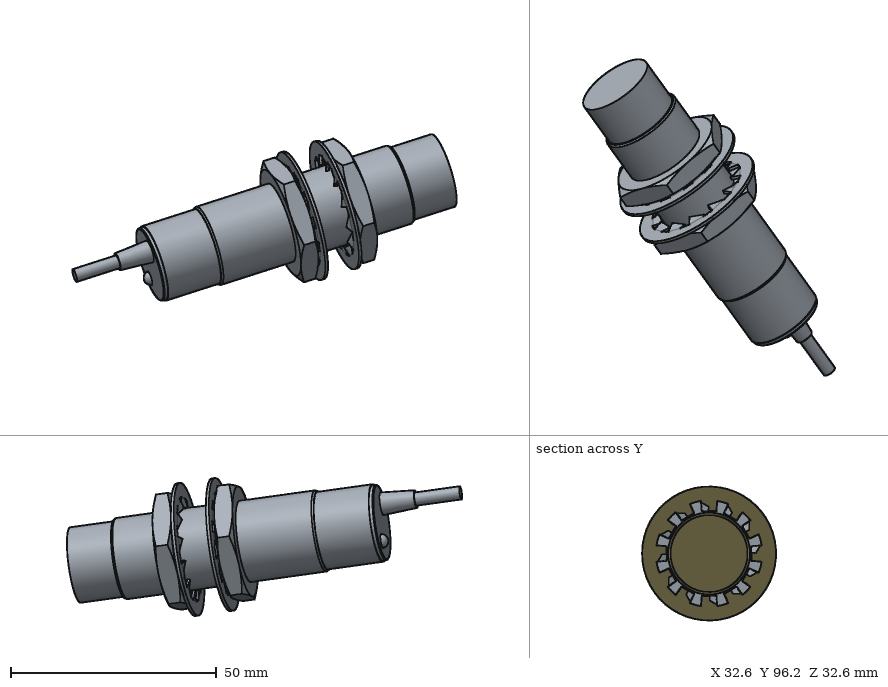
import cadquery as cq
import math


OVERALL_LENGTH = 96.23
BARREL_FRONT = 11.1
BARREL_REAR = 61.75
RIM_FRONT = 75.5
RIM_REAR = 76.6
RELIEF_REAR = 85.0

BARREL_RADIUS = 10.0
BARREL_CHAMFER_LENGTH = 0.5
BARREL_CHAMFER_DEPTH = 0.3

CORE_RADIUS = 9.3
CAP_RADIUS = 9.55
RIM_RADIUS = 9.3
RIM_CHAMFER = 0.25

FITTING_OFFSET = 5.6
RELIEF_ROOT_RADIUS = 2.8
RELIEF_TIP_RADIUS = 2.2
CABLE_RADIUS = 1.65
LIGHT_RADIUS = 1.75
LIGHT_HEIGHT = 1.5

NUT_SIDES = 6
NUT_ACROSS_FLATS = 27.0
NUT_THICKNESS = 4.6
NUT_CHAMFER_ANGLE = 22.0
CORNER_UP = 90.0
FRONT_NUT = 22.4
REAR_NUT = 37.8

WASHER_RADIUS = 32.64 / 2
WASHER_THICKNESS = 0.75
WASHER_HOLE_RADIUS = 12.9
TOOTH_COUNT = 12
TOOTH_TIP_RADIUS = 10.3
TOOTH_BEND_RADIUS = 12.6
TOOTH_ROOT_OVERLAP = 0.5
TOOTH_ROOT_WIDTH = 4.0
TOOTH_TIP_WIDTH = 3.6
TOOTH_TWIST = 22.0

TOOTH_REACH = (
    TOOTH_TIP_WIDTH / 2 * math.sin(math.radians(TOOTH_TWIST))
    + WASHER_THICKNESS / 2 * math.cos(math.radians(TOOTH_TWIST))
    - WASHER_THICKNESS / 2
)
FRONT_WASHER = FRONT_NUT + NUT_THICKNESS + TOOTH_REACH
REAR_WASHER = REAR_NUT - TOOTH_REACH - WASHER_THICKNESS


def revolve_about_y(profile):
    """Turn a closed outline of (radius, distance behind the face) points about the Y axis."""
    points = [(radius, -distance) for radius, distance in profile]
    return cq.Workplane("XY").polyline(points).close().revolve(360, (0, 0, 0), (0, 1, 0))


def cylinder(radius, front, rear, z=0.0):
    """Cylinder along Y between two distances behind the sensing face."""
    plane = cq.Workplane("XZ", origin=(0, -front, z))
    return plane.circle(radius).extrude(rear - front)


def make_barrel():
    """Tube around the core, chamfered at both ends."""
    end_radius = BARREL_RADIUS - BARREL_CHAMFER_DEPTH
    return revolve_about_y([
        (CORE_RADIUS, BARREL_FRONT),
        (end_radius, BARREL_FRONT),
        (BARREL_RADIUS, BARREL_FRONT + BARREL_CHAMFER_LENGTH),
        (BARREL_RADIUS, BARREL_REAR - BARREL_CHAMFER_LENGTH),
        (end_radius, BARREL_REAR),
        (CORE_RADIUS, BARREL_REAR),
    ])


def make_core():
    """Core filling the barrel, with the sensing end projecting at the front."""
    return cylinder(CORE_RADIUS, 0, BARREL_REAR)


def make_rear_cap():
    """Plug behind the barrel, stepped down to a chamfered rim."""
    return revolve_about_y([
        (0, BARREL_REAR),
        (CAP_RADIUS, BARREL_REAR),
        (CAP_RADIUS, RIM_FRONT),
        (RIM_RADIUS, RIM_FRONT),
        (RIM_RADIUS, RIM_REAR - RIM_CHAMFER),
        (RIM_RADIUS - RIM_CHAMFER, RIM_REAR),
        (0, RIM_REAR),
    ])


def make_cable():
    """Tapered strain relief in one piece with the cable."""
    relief = revolve_about_y([
        (0, RIM_REAR),
        (RELIEF_ROOT_RADIUS, RIM_REAR),
        (RELIEF_TIP_RADIUS, RELIEF_REAR),
        (0, RELIEF_REAR),
    ]).translate((0, 0, FITTING_OFFSET))
    return relief.union(cylinder(CABLE_RADIUS, RELIEF_REAR, OVERALL_LENGTH, FITTING_OFFSET))


def make_light():
    """Dome cut from a sphere whose section at the rear face has the light's radius."""
    sphere_radius = (LIGHT_RADIUS**2 + LIGHT_HEIGHT**2) / (2 * LIGHT_HEIGHT)
    centre = RIM_REAR + LIGHT_HEIGHT - sphere_radius
    sphere = cq.Workplane("XY").sphere(sphere_radius).translate((0, -centre, 0))
    dome = sphere.intersect(cylinder(sphere_radius, RIM_REAR, RIM_REAR + LIGHT_HEIGHT))
    return dome.translate((0, 0, -FITTING_OFFSET))


def make_nut(front):
    """Hexagon with a corner at the top, chamfered on both faces."""
    rear = front + NUT_THICKNESS
    flat_radius = NUT_ACROSS_FLATS / 2
    corner_radius = flat_radius / math.cos(math.pi / NUT_SIDES)
    chamfer_length = (corner_radius - flat_radius) * math.tan(math.radians(NUT_CHAMFER_ANGLE))
    hexagon = (
        cq.Workplane("XZ", origin=(0, -front, 0))
        .transformed(rotate=(0, 0, CORNER_UP))
        .polygon(NUT_SIDES, 2 * corner_radius)
        .extrude(NUT_THICKNESS)
    )
    chamfered_blank = revolve_about_y([
        (BARREL_RADIUS, front),
        (flat_radius, front),
        (corner_radius, front + chamfer_length),
        (corner_radius, rear - chamfer_length),
        (flat_radius, rear),
        (BARREL_RADIUS, rear),
    ])
    return hexagon.intersect(chamfered_blank)


def make_tooth(middle):
    """Tooth at the top of the washer: a flat root, then a blade twisted toward its tip."""
    root = (
        cq.Workplane("XY", origin=(0, -middle, TOOTH_BEND_RADIUS))
        .rect(TOOTH_ROOT_WIDTH, WASHER_THICKNESS)
        .extrude(WASHER_HOLE_RADIUS - TOOTH_BEND_RADIUS + TOOTH_ROOT_OVERLAP)
    )
    blade = (
        cq.Workplane("XY", origin=(0, -middle, TOOTH_BEND_RADIUS))
        .rect(TOOTH_ROOT_WIDTH, WASHER_THICKNESS)
        .workplane(offset=TOOTH_TIP_RADIUS - TOOTH_BEND_RADIUS)
        .transformed(rotate=(0, 0, -TOOTH_TWIST))
        .rect(TOOTH_TIP_WIDTH, WASHER_THICKNESS)
        .loft(ruled=True)
    )
    return root.union(blade)


def make_washer(front):
    """Flat ring with twisted teeth around its hole."""
    rear = front + WASHER_THICKNESS
    washer = cylinder(WASHER_RADIUS, front, rear).cut(cylinder(WASHER_HOLE_RADIUS, front, rear))
    tooth = make_tooth((front + rear) / 2)
    for index in range(TOOTH_COUNT):
        angle = index * 360 / TOOTH_COUNT
        washer = washer.union(tooth.rotate((0, 0, 0), (0, 1, 0), angle))
    return washer


barrel = make_barrel()
core = make_core()
rear_cap = make_rear_cap()
cable = make_cable()
light = make_light()
nuts = [make_nut(front) for front in (FRONT_NUT, REAR_NUT)]
washers = [make_washer(front) for front in (FRONT_WASHER, REAR_WASHER)]

result = cq.Compound.makeCompound([
    barrel.val(),
    core.val(),
    rear_cap.val(),
    cable.val(),
    light.val(),
    *[nut.val() for nut in nuts],
    *[washer.val() for washer in washers],
])